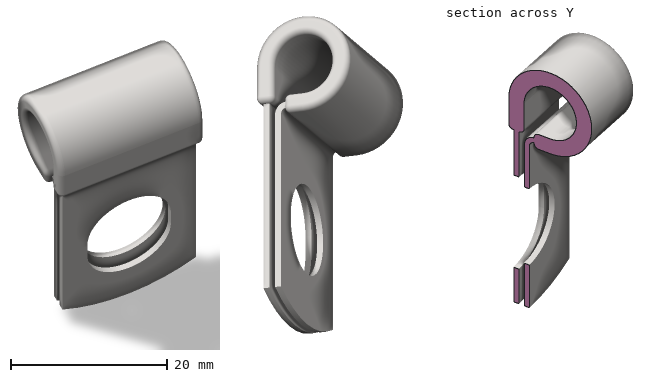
import cadquery as cq
import math


bore_radius = 3.96
band_thickness = 0.815
cushion_wall = 0.795
band_width = 19.05
leg_gap = 0.79
bend_inner_radius = 0.79
cushion_end_x = 2.5
cushion_end_z = -4.75
cushion_fillet = 0.75
hole_diameter = 11.9
slot_center_distance = 2.5
hole_to_tip = 12.7
tip_rise = 2.15
overall_height = 38.11

band_inner_radius = bore_radius + cushion_wall
band_outer_radius = band_inner_radius + band_thickness
cushion_radius = band_outer_radius + cushion_wall
cushion_width = band_width + 2 * cushion_wall
tip_z = cushion_radius - overall_height
hole_z = tip_z + hole_to_tip
inner_leg_right = band_inner_radius - leg_gap
inner_leg_left = inner_leg_right - band_thickness
gap_middle_x = band_inner_radius - leg_gap / 2
bend_outer_radius = bend_inner_radius + band_thickness
bend_x = inner_leg_left - bend_inner_radius
bend_z = -band_outer_radius - bend_inner_radius
half_diagonal = math.sqrt(0.5)


def loop_strip(inner_radius, outer_radius, end_x, end_z, width):
    """Three-quarter ring with a straight run at each end, centred on Y = 0."""
    inner_mid = inner_radius * half_diagonal
    outer_mid = outer_radius * half_diagonal
    return (
        cq.Workplane("XZ")
        .moveTo(end_x, -outer_radius)
        .lineTo(0, -outer_radius)
        .threePointArc((-outer_mid, outer_mid), (outer_radius, 0))
        .lineTo(outer_radius, end_z)
        .lineTo(inner_radius, end_z)
        .lineTo(inner_radius, 0)
        .threePointArc((-inner_mid, inner_mid), (0, -inner_radius))
        .lineTo(end_x, -inner_radius)
        .close()
        .extrude(width / 2, both=True)
    )


def make_cushion():
    """Sleeve around the loop with every outside edge rounded."""
    sleeve = loop_strip(bore_radius, cushion_radius, cushion_end_x, cushion_end_z, cushion_width)
    return sleeve.edges().fillet(cushion_fillet)


def make_inner_leg():
    """Leg that leaves the loop horizontally and bends down."""
    bend_outer_mid = bend_outer_radius * half_diagonal
    bend_inner_mid = bend_inner_radius * half_diagonal
    return (
        cq.Workplane("XZ")
        .moveTo(0, -band_inner_radius)
        .lineTo(bend_x, -band_inner_radius)
        .threePointArc((bend_x + bend_outer_mid, bend_z + bend_outer_mid), (inner_leg_right, bend_z))
        .lineTo(inner_leg_right, tip_z)
        .lineTo(inner_leg_left, tip_z)
        .lineTo(inner_leg_left, bend_z)
        .threePointArc((bend_x + bend_inner_mid, bend_z + bend_inner_mid), (bend_x, -band_outer_radius))
        .lineTo(0, -band_outer_radius)
        .close()
        .extrude(band_width / 2, both=True)
    )


def make_leg_outline():
    """Band outline seen along X, with a curved tip, extruded across both legs."""
    half_width = band_width / 2
    shoulder_z = tip_z + tip_rise
    return (
        cq.Workplane("YZ")
        .moveTo(-half_width, cushion_radius)
        .lineTo(-half_width, shoulder_z)
        .threePointArc((0, tip_z), (half_width, shoulder_z))
        .lineTo(half_width, cushion_radius)
        .close()
        .extrude(cushion_radius, both=True)
    )


def make_round_hole():
    """Round bolt hole through the inner leg, ending in the gap between the legs."""
    return (
        cq.Workplane("YZ")
        .center(0, hole_z)
        .circle(hole_diameter / 2)
        .extrude(gap_middle_x)
    )


def make_slotted_hole():
    """Vertical bolt slot through the outer leg, starting in the gap between the legs."""
    return (
        cq.Workplane("YZ", origin=(gap_middle_x, 0, hole_z))
        .slot2D(slot_center_distance + hole_diameter, hole_diameter, 90)
        .extrude(cushion_radius - gap_middle_x)
    )


loop_and_outer_leg = loop_strip(band_inner_radius, band_outer_radius, bend_x, tip_z, band_width)
band = loop_and_outer_leg.union(make_inner_leg()).intersect(make_leg_outline())
band = band.cut(make_round_hole()).cut(make_slotted_hole())
result = make_cushion().union(band)